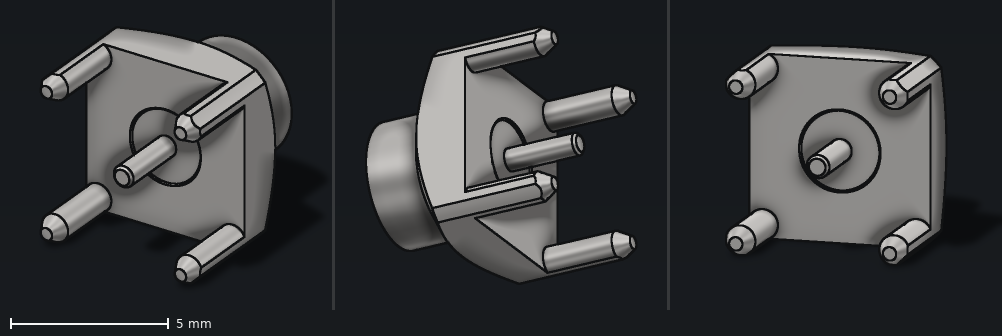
import cadquery as cq
import math

body_width = 6.0
corner_radius = 4.0
barrel_radius = 2.1
barrel_length = 1.81
shoulder_angle = 60.0
total_length = 7.1
leg_length = 2.995
back_y = total_length / 2
tip_y = -total_length / 2
face_y = tip_y + leg_length
shoulder_y = back_y - barrel_length
shoulder_length = (corner_radius - barrel_radius) / math.tan(math.radians(shoulder_angle))
shoulder_base_y = shoulder_y - shoulder_length

leg_radius = 0.5
leg_offset = 2.54
leg_tip_radius = 0.22
leg_taper = 0.505

pin_radius = 0.375
pin_length = 2.5
pin_chamfer = 0.1
recess_radius = 1.35
recess_floor_radius = 1.29
recess_depth = 0.06


def turned(points):
    """Revolve a closed (radius, y) outline about the Y axis."""
    return cq.Workplane("XY").polyline(points).close().revolve(360, (0, 0, 0), (0, 1, 0))


def make_envelope():
    block = cq.Workplane("XY").box(body_width, total_length, body_width)
    corner_round = turned([
        (0, tip_y),
        (corner_radius, tip_y),
        (corner_radius, back_y),
        (0, back_y),
    ])
    return block.intersect(corner_round)


def make_body():
    return turned([
        (0, face_y),
        (corner_radius, face_y),
        (corner_radius, shoulder_base_y),
        (barrel_radius, shoulder_y),
        (barrel_radius, back_y),
        (0, back_y),
    ])


def make_recess():
    floor_y = face_y + recess_depth
    return turned([(0, face_y), (recess_radius, face_y), (recess_floor_radius, floor_y), (0, floor_y)])


def make_leg(x, z):
    leg = turned([
        (0, shoulder_base_y),
        (leg_radius, shoulder_base_y),
        (leg_radius, tip_y + leg_taper),
        (leg_tip_radius, tip_y),
        (0, tip_y),
    ])
    return leg.translate((x, 0, z))


def make_pin():
    pin_end = face_y - pin_length
    return turned([
        (0, face_y + recess_depth),
        (pin_radius, face_y + recess_depth),
        (pin_radius, pin_end + pin_chamfer),
        (pin_radius - pin_chamfer, pin_end),
        (0, pin_end),
    ])


result = make_body().cut(make_recess()).union(make_pin())
for x in (-leg_offset, leg_offset):
    for z in (-leg_offset, leg_offset):
        result = result.union(make_leg(x, z))

result = result.intersect(make_envelope())